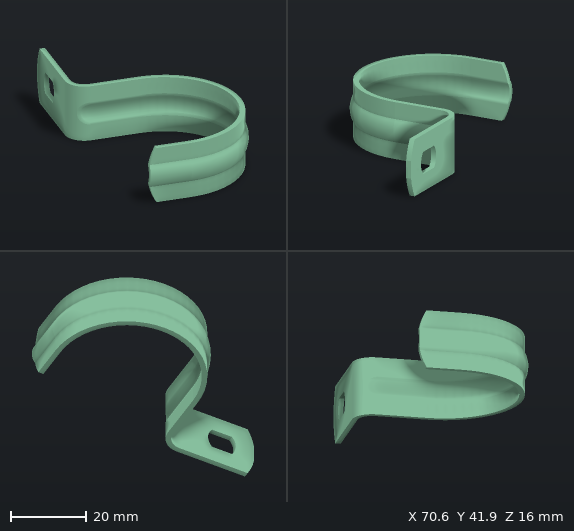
import cadquery as cq
import math

thickness = 1.5
width = 16.0
half_width = width / 2

inner_radius = 20.0
outer_radius = inner_radius + thickness

bead_height = 0.92
bead_outer_radius = 6.2
bead_inner_radius = bead_outer_radius - thickness
bead_centre = outer_radius + bead_height - bead_outer_radius
bead_embed = 0.5
groove_edge_radius = 1.5

overall_length = 70.58
overall_depth = 41.88
tab_end_x = outer_radius + bead_height - overall_length
tab_back_y = outer_radius + bead_height - overall_depth
tab_face_y = tab_back_y + thickness
bend_inner_radius = 4.0
bend_outer_radius = bend_inner_radius + thickness

free_end_y = -11.58

end_crown_radius = 16.0
end_flat = 4.9

hole_x = -38.45
hole_length = 8.4
hole_height = 6.2
hole_flat_length = 6.05

pick_margin = 0.1


def edges_within(x_range, y_range, z_limit):
    """Selector for edges whose centres lie in the given x and y ranges and within z_limit of z = 0."""
    low = (x_range[0] - pick_margin, y_range[0] - pick_margin, -z_limit - pick_margin)
    high = (x_range[1] + pick_margin, y_range[1] + pick_margin, z_limit + pick_margin)
    return cq.selectors.BoxSelector(low, high)


def make_strip():
    """Plain strap with a square corner where the tab meets the hook."""
    return (
        cq.Workplane("XY", origin=(0, 0, -half_width))
        .moveTo(tab_end_x, tab_back_y)
        .lineTo(-inner_radius, tab_back_y)
        .lineTo(-inner_radius, 0)
        .threePointArc((0, inner_radius), (inner_radius, 0))
        .lineTo(inner_radius, free_end_y)
        .lineTo(outer_radius, free_end_y)
        .lineTo(outer_radius, 0)
        .threePointArc((0, outer_radius), (-outer_radius, 0))
        .lineTo(-outer_radius, tab_face_y)
        .lineTo(tab_end_x, tab_face_y)
        .close()
        .extrude(width)
    )


def half_chord(radius, base):
    """Half the width of the bead circle where it crosses the distance base from the hook centre."""
    return math.sqrt(radius**2 - (base - bead_centre) ** 2)


def bead_section(side, radius, base):
    """Circular segment bulging outward from the distance base; side is +1 or -1 along X."""
    reach = half_chord(radius, base)
    return (
        cq.Workplane("XZ")
        .moveTo(side * base, -reach)
        .threePointArc((side * (bead_centre + radius), 0), (side * base, reach))
        .close()
    )


def bead_along_hook(radius, base, tab_leg_end_y):
    """Bead-shaped solid running from the tab side, round the hook, to the free end."""
    arch = bead_section(1, radius, base).revolve(180, (0, 0, 0), (0, 1, 0))
    free_leg = bead_section(1, radius, base).extrude(-free_end_y)
    tab_leg = bead_section(-1, radius, base).extrude(-tab_leg_end_y)
    return arch.union(free_leg).union(tab_leg)


def round_bend(body):
    """Round the tab corner inside and out, blending the bead into the tab face."""
    inside = edges_within((-outer_radius - bead_height, -outer_radius), (tab_face_y, tab_face_y), half_width)
    outside = edges_within((-inner_radius, -inner_radius), (tab_back_y, tab_back_y), half_width)
    return body.edges(inside).fillet(bend_inner_radius).edges(outside).fillet(bend_outer_radius)


def cut_groove(body):
    """Hollow out the bead and round the groove's edge, including where it runs out through the bend."""
    body = body.cut(bead_along_hook(bead_inner_radius, inner_radius, tab_back_y))
    groove_half_width = half_chord(bead_inner_radius, inner_radius)
    flanks = edges_within((-inner_radius, inner_radius), (free_end_y, inner_radius), groove_half_width)
    run_out = edges_within(
        (-outer_radius, -inner_radius),
        (tab_back_y, tab_back_y + bend_outer_radius),
        groove_half_width,
    )
    return body.edges(flanks + run_out).fillet(groove_edge_radius)


def end_waste(plane, end):
    """Material beyond a strap end, which faces the negative direction of the plane's first axis."""
    half_flat = end_flat / 2
    flat_angle = math.asin(half_flat / end_crown_radius)
    corner_angle = math.asin(half_width / end_crown_radius)
    middle_angle = (flat_angle + corner_angle) / 2
    crown_centre = end + end_crown_radius * math.cos(flat_angle)
    corner = crown_centre - end_crown_radius * math.cos(corner_angle)
    middle = crown_centre - end_crown_radius * math.cos(middle_angle)
    middle_height = end_crown_radius * math.sin(middle_angle)
    outside = end - thickness
    return (
        cq.Workplane(plane)
        .moveTo(end, -half_flat)
        .lineTo(end, half_flat)
        .threePointArc((middle, middle_height), (corner, half_width))
        .lineTo(outside, half_width)
        .lineTo(outside, -half_width)
        .lineTo(corner, -half_width)
        .threePointArc((middle, -middle_height), (end, -half_flat))
        .close()
        .extrude(overall_depth)
    )


def make_hole():
    """Through-cutter for the bolt hole."""
    half_flat = hole_flat_length / 2
    half_length = hole_length / 2
    half_height = hole_height / 2
    return (
        cq.Workplane("XZ", origin=(hole_x, tab_face_y, 0))
        .moveTo(-half_flat, half_height)
        .lineTo(half_flat, half_height)
        .threePointArc((half_length, 0), (half_flat, -half_height))
        .lineTo(-half_flat, -half_height)
        .threePointArc((-half_length, 0), (-half_flat, half_height))
        .close()
        .extrude(thickness)
    )


bead = bead_along_hook(bead_outer_radius, outer_radius - bead_embed, tab_face_y)
strap = make_strip().union(bead)
strap = round_bend(strap)
strap = cut_groove(strap)
strap = strap.cut(end_waste("XZ", tab_end_x))
strap = strap.cut(end_waste("YZ", free_end_y))
result = strap.cut(make_hole())